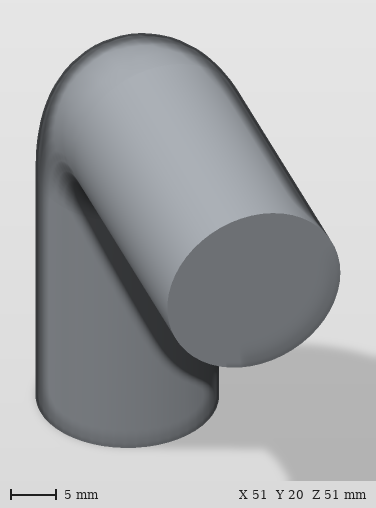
import cadquery as cq

overall_size = 51.0
rod_diameter = 20.0
inner_corner_radius = 1.0

rod_radius = rod_diameter / 2
bend_radius = inner_corner_radius + rod_radius
leg_length = overall_size - bend_radius - rod_radius


def make_upright_leg():
    """Straight rod along the Z axis, from Z = 0 up to the start of the bend."""
    return cq.Workplane("XY").circle(rod_radius).extrude(leg_length)


def make_bend():
    """Quarter turn that leads from the upright leg into the +X direction."""
    return (
        cq.Workplane("XY", origin=(0, 0, leg_length))
        .circle(rod_radius)
        .revolve(90, (bend_radius, 0, 0), (bend_radius, 1, 0))
    )


def make_horizontal_leg():
    """Straight rod along +X, from the end of the bend."""
    return (
        cq.Workplane("YZ", origin=(bend_radius, 0, leg_length + bend_radius))
        .circle(rod_radius)
        .extrude(leg_length)
    )


def make_bent_rod():
    """One continuous rod: two equal legs joined by the bend."""
    return make_upright_leg().union(make_bend()).union(make_horizontal_leg())


bent_rod = make_bent_rod()

result = cq.Compound.makeCompound([*bent_rod.solids().vals()])